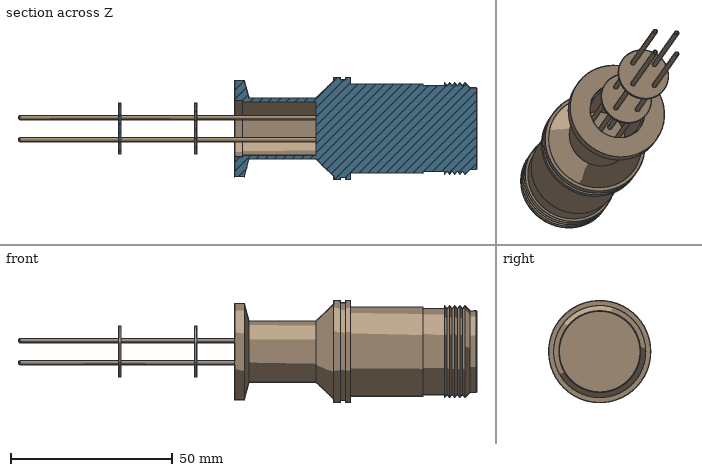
import cadquery as cq
import math

total_length = 142.11
pin_reach = 67.0

flange_radius = 15.0
flange_rim_width = 3.0
flange_taper_angle = 15.0

tube_radius = 9.525
tube_bore_radius = 8.2
mouth_radius = 8.7
mouth_depth = 2.5
cone_start = 25.2
bore_depth = cone_start
cone_end_radius = 14.8

collar_radius = 15.875
collar_start = 30.7
collar_groove_start = 32.8
collar_groove_end = 34.4
collar_groove_radius = 15.2
collar_end = 35.95

body_radius = 13.9
body_end = 58.5
relief_radius = 13.45

thread_crest_radius = 14.29
thread_root_radius = 13.3
thread_pitch = 25.4 / 16
thread_crest_count = 5
first_crest = 65.1

nose_radius = 12.7
nose_chamfer = 0.2
nose_end = total_length - pin_reach

key_length = 1.2
key_width = 2.0
key_depth = 0.4
key_center = nose_end - 1.45

pin_radius = 0.7
pin_tip_chamfer = 0.35
pin_spacing = 6.85
pin_embedment = 1.0
disc_radius = 7.95
disc_thickness = 0.8
disc_centers = (-35.6, -12.1)


def cylinder(start, length, radius):
    """Round bar along X, beginning at the given station."""
    return cq.Workplane("YZ").workplane(offset=start).circle(radius).extrude(length)


def make_shell():
    """Turned outside of flange, neck, collar, body, thread and nose."""
    taper_width = (flange_radius - tube_radius) * math.tan(math.radians(flange_taper_angle))
    outline = [
        (0, 0),
        (0, flange_radius),
        (flange_rim_width, flange_radius),
        (flange_rim_width + taper_width, tube_radius),
        (cone_start, tube_radius),
        (collar_start, cone_end_radius),
        (collar_start, collar_radius),
        (collar_groove_start, collar_radius),
        (collar_groove_start, collar_groove_radius),
        (collar_groove_end, collar_groove_radius),
        (collar_groove_end, collar_radius),
        (collar_end, collar_radius),
        (collar_end, body_radius),
        (body_end, body_radius),
        (body_end, relief_radius),
        (first_crest, relief_radius),
    ]
    for index in range(thread_crest_count):
        crest = first_crest + index * thread_pitch
        if index > 0:
            outline.append((crest - thread_pitch / 2, thread_root_radius))
        outline.append((crest, thread_crest_radius))
    last_crest = first_crest + (thread_crest_count - 1) * thread_pitch
    outline += [
        (last_crest + thread_crest_radius - nose_radius, nose_radius),
        (nose_end - nose_chamfer, nose_radius),
        (nose_end, nose_radius - nose_chamfer),
        (nose_end, 0),
    ]
    return cq.Workplane("XY").polyline(outline).close().revolve(360, (0, 0, 0), (1, 0, 0))


def make_bore():
    """Blind neck bore, slightly wider at the flange mouth."""
    neck = cylinder(0, bore_depth, tube_bore_radius)
    mouth = cylinder(0, mouth_depth, mouth_radius)
    return neck.union(mouth)


def make_key_recess():
    """Small rectangular pocket sunk into the +Z side of the nose."""
    return (
        cq.Workplane("XY")
        .workplane(offset=nose_radius - key_depth)
        .center(key_center, 0)
        .rect(key_length, key_width)
        .extrude(2 * key_depth)
    )


def make_pins():
    """Four pins running from their free tips to the floor of the bore."""
    return (
        cq.Workplane("YZ")
        .workplane(offset=-pin_reach)
        .rect(pin_spacing, pin_spacing, forConstruction=True)
        .vertices()
        .circle(pin_radius)
        .extrude(pin_reach + bore_depth + pin_embedment)
        .faces("<X")
        .chamfer(pin_tip_chamfer)
    )


result = make_shell().cut(make_bore()).cut(make_key_recess())
result = result.union(make_pins())
for disc_center in disc_centers:
    result = result.union(cylinder(disc_center - disc_thickness / 2, disc_thickness, disc_radius))